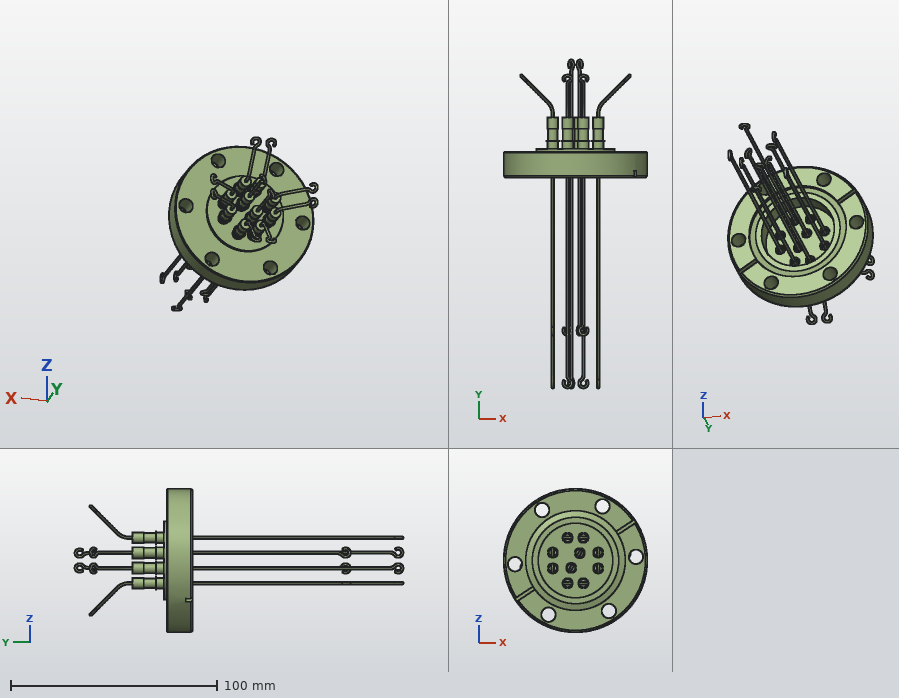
import cadquery as cq
import math


FLANGE_DIAMETER = 69.8
FLANGE_THICKNESS = 12.6
SEAL_SIDE_CHAMFER = 1.0
BACK_CHAMFER = 0.5
BOLT_COUNT = 6
BOLT_CIRCLE_DIAMETER = 58.8
BOLT_HOLE_DIAMETER = 6.9
BOLT_START_ANGLE = 3.5
GROOVE_ANGLE = BOLT_START_ANGLE + 180 / BOLT_COUNT
GROOVE_WIDTH = 1.8
GROOVE_DEPTH = 3.5

RECESS_DIAMETER = 48.4
RECESS_DEPTH = 1.9
KNIFE_DIAMETER = 42.0
KNIFE_TIP_DEPTH = 0.8
BORE_DIAMETER = 36.3

PLATE_DIAMETER = 38.3
PLATE_PROTRUSION = 1.5
PLATE_THICKNESS = 3.2
PLATE_BACK = FLANGE_THICKNESS + PLATE_PROTRUSION
PLATE_FRONT = PLATE_BACK - PLATE_THICKNESS

SLEEVE_DIAMETER = 5.3
INSULATOR_DIAMETER = 4.8
COLLAR_DIAMETER = 6.2
COLLAR_THICKNESS = 0.2
COLLAR_STATION = 17.9
CAP_STATION = 24.0
SLEEVE_END = 29.4
SLEEVE_BORE_DIAMETER = 3.8
PLATE_HOLE_DIAMETER = 4.6

WIRE_DIAMETER = 1.3
EYE_RADIUS = 1.9
NECK_BEND_RADIUS = 2.9
EYE_GAP_ANGLE = 48
EYE_REACH = EYE_RADIUS + WIRE_DIAMETER / 2
NECK_LENGTH = math.sqrt(EYE_RADIUS**2 + 2 * EYE_RADIUS * NECK_BEND_RADIUS)
OVERALL_LENGTH = 159.7
LONG_LEAD_END = -102.2
SHORT_LEAD_END = -76.7
STRAIGHT_LEAD_END = OVERALL_LENGTH + LONG_LEAD_END
SPLAY_ANGLE = 45
SPLAY_CORNER = 34.3
SPLAY_BEND_RADIUS = 8.0
SPLAY_REACH = 19.6

ROW_OFFSET = 11.0
ROW_HALF_PITCH = 3.8
INNER_PAIR_RADIUS = 4.2
INNER_PAIR_ANGLE = 60

AXIS = cq.Vector(0, 1, 0)


def along_y(diameter, start, end, place=(0, 0)):
    """Cylinder along Y between two stations, centred on the given X and Z."""
    x, z = place
    return cq.Workplane(cq.Solid.makeCylinder(diameter / 2, end - start, cq.Vector(x, start, z), AXIS))


def lead_places():
    """Place, side facing the other lead of the pair, splay direction (or None), and whether it is long."""
    leads = []
    for quarter in range(4):
        turn = math.radians(90 * quarter)
        outward = cq.Vector(math.cos(turn), 0, math.sin(turn))
        sideways = cq.Vector(-math.sin(turn), 0, math.cos(turn))
        for side in (-1, 1):
            place = outward * ROW_OFFSET + sideways * (side * ROW_HALF_PITCH)
            leads.append((place, sideways * -side, outward, side == 1))
    turn = math.radians(INNER_PAIR_ANGLE)
    inner = cq.Vector(math.cos(turn), 0, math.sin(turn))
    for side in (-1, 1):
        leads.append((inner * (side * INNER_PAIR_RADIUS), inner * -side, None, side == -1))
    return leads


def knife_recess():
    """Solid of revolution to remove: the recess around the knife edge and the space inside its tip."""
    profile = [
        (0, 0),
        (RECESS_DIAMETER / 2, 0),
        (RECESS_DIAMETER / 2, RECESS_DEPTH),
        (KNIFE_DIAMETER / 2, KNIFE_TIP_DEPTH),
        (0, KNIFE_TIP_DEPTH),
    ]
    return cq.Workplane("XY").polyline(profile).close().revolve(360, (0, 0), (0, 1))


def bolt_holes():
    holes = cq.Workplane("XY")
    for index in range(BOLT_COUNT):
        angle = math.radians(BOLT_START_ANGLE + index * 360 / BOLT_COUNT)
        radius = BOLT_CIRCLE_DIAMETER / 2
        place = (radius * math.cos(angle), radius * math.sin(angle))
        holes = holes.add(along_y(BOLT_HOLE_DIAMETER, 0, FLANGE_THICKNESS, place))
    return holes.combine()


def leak_grooves():
    """Two opposite radial grooves from the recess to the rim, cut as one bar across the face."""
    bar = cq.Workplane("XY").box(FLANGE_DIAMETER, GROOVE_DEPTH, GROOVE_WIDTH)
    bar = bar.translate((0, GROOVE_DEPTH / 2, 0))
    bar = bar.cut(along_y(RECESS_DIAMETER, 0, GROOVE_DEPTH))
    return bar.rotate((0, 0, 0), (0, 1, 0), -GROOVE_ANGLE)


def make_flange():
    body = along_y(FLANGE_DIAMETER, 0, FLANGE_THICKNESS)
    body = body.faces("<Y").chamfer(SEAL_SIDE_CHAMFER)
    body = body.faces(">Y").chamfer(BACK_CHAMFER)
    body = body.cut(knife_recess())
    body = body.cut(along_y(BORE_DIAMETER, 0, FLANGE_THICKNESS))
    body = body.cut(along_y(PLATE_DIAMETER, PLATE_FRONT, FLANGE_THICKNESS))
    return body.cut(bolt_holes()).cut(leak_grooves())


def eye_edges(centre, heading, side):
    """Neck bend and open eye of a lead that runs along `heading`; the wire leaves its line toward `side`."""
    neck_start = centre - heading * NECK_LENGTH
    bend_centre = neck_start + side * NECK_BEND_RADIUS
    to_eye = (centre - bend_centre).normalized()
    bend_middle = bend_centre + (to_eye - side).normalized() * NECK_BEND_RADIUS

    def on_eye(angle):
        return centre + (side * math.sin(angle) - heading * math.cos(angle)) * EYE_RADIUS

    first = math.atan2(NECK_BEND_RADIUS, NECK_LENGTH)
    last = math.radians(360 - EYE_GAP_ANGLE)
    return [
        cq.Edge.makeThreePointArc(neck_start, bend_middle, on_eye(first)),
        cq.Edge.makeThreePointArc(on_eye(first), on_eye((first + last) / 2), on_eye(last)),
    ]


def straight_half(place, end, side):
    """Centreline from y = 0 straight along Y to an eye whose far side reaches the station `end`."""
    heading = AXIS * math.copysign(1, end)
    centre = place + AXIS * end - heading * EYE_REACH
    run = cq.Edge.makeLine(place, centre - heading * NECK_LENGTH)
    return [run, *eye_edges(centre, heading, side)]


def splayed_half(place, outward, side):
    """Centreline from y = 0 through the sleeve, then bent outward to its eye."""
    splay = math.radians(SPLAY_ANGLE)
    heading = AXIS * math.cos(splay) + outward * math.sin(splay)
    corner = place + AXIS * SPLAY_CORNER
    setback = SPLAY_BEND_RADIUS * math.tan(splay / 2)
    bend_start = corner - AXIS * setback
    bend_end = corner + heading * setback
    half_way = AXIS * math.sin(splay / 2) + outward * (1 - math.cos(splay / 2))
    bend_middle = bend_start + half_way * SPLAY_BEND_RADIUS
    centre = corner + heading * SPLAY_REACH
    return [
        cq.Edge.makeLine(place, bend_start),
        cq.Edge.makeThreePointArc(bend_start, bend_middle, bend_end),
        cq.Edge.makeLine(bend_end, centre - heading * NECK_LENGTH),
        *eye_edges(centre, heading, side),
    ]


def wire_along(edges):
    """Round wire swept along edges that start on the XZ plane and run along Y there."""
    path = cq.Wire.assembleEdges(edges)
    section = cq.Workplane(cq.Plane(path.startPoint(), (1, 0, 0), path.tangentAt(0)))
    return section.circle(WIRE_DIAMETER / 2).sweep(cq.Workplane(path))


def make_lead(place, side, outward, is_long):
    front_end = LONG_LEAD_END if is_long else SHORT_LEAD_END
    if outward is None:
        back_half = straight_half(place, STRAIGHT_LEAD_END, side)
    else:
        back_half = splayed_half(place, outward, side)
    return wire_along(straight_half(place, front_end, side)).union(wire_along(back_half))


def make_sleeve(place):
    """Sleeve base, thin collar, insulator and end cap of one lead."""
    sleeve = along_y(SLEEVE_DIAMETER, PLATE_BACK, COLLAR_STATION, place)
    sleeve = sleeve.union(along_y(COLLAR_DIAMETER, COLLAR_STATION, COLLAR_STATION + COLLAR_THICKNESS, place))
    sleeve = sleeve.union(along_y(INSULATOR_DIAMETER, COLLAR_STATION, CAP_STATION, place))
    return sleeve.union(along_y(SLEEVE_DIAMETER, CAP_STATION, SLEEVE_END, place))


def make_header(leads):
    """Plate and sleeves: short leads are part of it, long leads pass through clear bores."""
    header = along_y(PLATE_DIAMETER, PLATE_FRONT, PLATE_BACK)
    for place, side, outward, is_long in leads:
        spot = (place.x, place.z)
        header = header.union(make_sleeve(spot))
        header = header.cut(along_y(PLATE_HOLE_DIAMETER, PLATE_FRONT, PLATE_BACK, spot))
        header = header.cut(along_y(SLEEVE_BORE_DIAMETER, PLATE_BACK, COLLAR_STATION, spot))
        if is_long:
            header = header.cut(along_y(WIRE_DIAMETER, PLATE_FRONT, SLEEVE_END, spot))
        else:
            header = header.union(make_lead(place, side, outward, is_long))
    return header


leads = lead_places()
flange = make_flange()
header = make_header(leads)
long_leads = [make_lead(*lead) for lead in leads if lead[-1]]

result = cq.Compound.makeCompound([flange.val(), header.val(), *[lead.val() for lead in long_leads]])